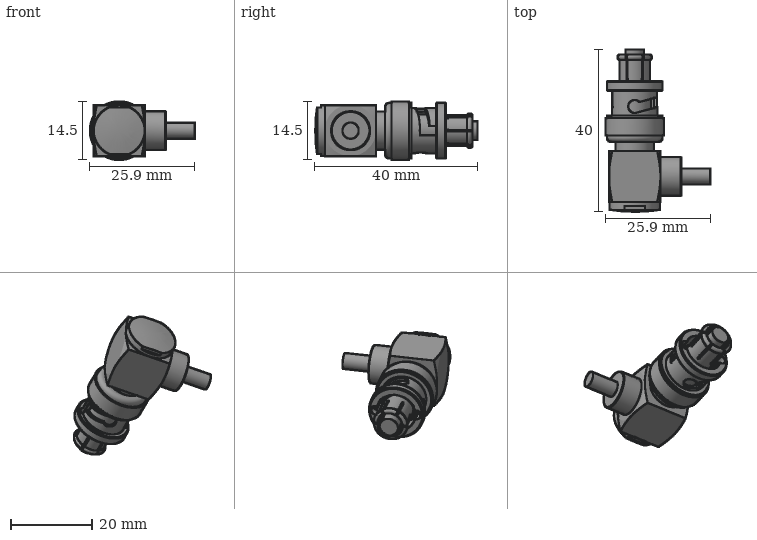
import cadquery as cq
import math


block_half = 6.32
corner_cut = 0.8

cap_radius = 6.3
cap_edge_y = -8.2
cap_tip_y = -8.72
cap_flat_z = 5.75
cap_flat_start_y = -7.32

boss_radius = 4.8
boss_end_x = 11.5
boss_chamfer = 0.15
cable_radius = 2.0
cable_end_x = 18.65

sleeve_back_y = 8.5
grip_start_y = 10.12
grip_end_y = 14.35
rim_end_y = 14.95
flange_start_y = 21.1
sleeve_front_y = 23.53
sleeve_bore_radius = 4.92
neck_radius = 4.75
barrel_radius = 5.65
rim_radius = 6.9
grip_radius = 7.25
sleeve_back_round = 1.1
flange_chamfer = 0.25

latch_hole_y = 17.25
latch_hole_radius = 1.6
ramp_width = 2.35
entry_width = 2.4
ramp_angle = 15.0
entry_round_center = 5.05

contact_base_radius = 4.05
contact_radius = 3.8
contact_bore_radius = 3.2
contact_front_y = 30.1
bead_radius = 0.72
bead_reach = 4.25
slit_width = 0.35
slit_start_y = 23.95
slit_count = 6
core_radius = 2.32
core_front_y = 31.3


def y_cylinder(radius, start_y, end_y):
    """Cylinder on the connector axis between two Y positions."""
    return cq.Workplane("XZ", origin=(0, start_y, 0)).circle(radius).extrude(start_y - end_y)


def x_cylinder(radius, start_x, end_x):
    """Cylinder on the cable axis between two X positions."""
    return cq.Workplane("YZ", origin=(start_x, 0, 0)).circle(radius).extrude(end_x - start_x)


def elbow_block():
    """Cube whose two X faces are turned down to circles by shallow conical chamfers."""
    side = 2 * block_half
    corner_radius = block_half * math.sqrt(2)
    turned = (
        cq.Workplane("XY")
        .moveTo(-block_half, 0)
        .lineTo(-block_half, block_half)
        .lineTo(-block_half + corner_cut, corner_radius)
        .lineTo(block_half - corner_cut, corner_radius)
        .lineTo(block_half, block_half)
        .lineTo(block_half, 0)
        .close()
        .revolve(360, (0, 0, 0), (1, 0, 0))
    )
    return cq.Workplane("XY").box(side, side, side).intersect(turned)


def back_cap():
    """Round cap with a domed end and two flats."""
    rise = cap_edge_y - cap_tip_y
    dome_radius = (cap_radius**2 + rise**2) / (2 * rise)
    half_angle = math.asin(cap_radius / dome_radius) / 2
    arc_middle_x = dome_radius * math.sin(half_angle)
    arc_middle_y = cap_tip_y + dome_radius * (1 - math.cos(half_angle))
    cap = (
        cq.Workplane("XY")
        .moveTo(0, -block_half)
        .lineTo(cap_radius, -block_half)
        .lineTo(cap_radius, cap_edge_y)
        .threePointArc((arc_middle_x, arc_middle_y), (0, cap_tip_y))
        .close()
        .revolve(360, (0, 0, 0), (0, 1, 0))
    )
    flat_length = cap_flat_start_y - cap_tip_y
    flat_depth = cap_radius - cap_flat_z
    flat_cut = cq.Workplane("XY").box(2 * cap_radius, flat_length, flat_depth, centered=(True, False, False))
    for bottom_z in (cap_flat_z, -cap_radius):
        cap = cap.cut(flat_cut.translate((0, cap_tip_y, bottom_z)))
    return cap


def spring_contact():
    """Beaded tube, slit into spring fingers around a solid core."""
    bead_center_y = contact_front_y - bead_radius
    base = y_cylinder(contact_base_radius, grip_end_y, flange_start_y)
    tube = y_cylinder(contact_radius, flange_start_y, bead_center_y)
    bead_center_radius = bead_reach - bead_radius
    bead = (
        cq.Workplane("XY")
        .moveTo(0, bead_center_y - bead_radius)
        .lineTo(bead_center_radius, bead_center_y - bead_radius)
        .threePointArc((bead_reach, bead_center_y), (bead_center_radius, contact_front_y))
        .lineTo(0, contact_front_y)
        .close()
        .revolve(360, (0, 0, 0), (0, 1, 0))
    )
    bore = y_cylinder(contact_bore_radius, slit_start_y, contact_front_y)
    contact = base.union(tube).union(bead).cut(bore)
    slit_length = contact_front_y - slit_start_y
    slit = (
        cq.Workplane("XY")
        .box(bead_reach, slit_length, slit_width, centered=(False, False, True))
        .translate((0, slit_start_y, 0))
    )
    for i in range(slit_count):
        contact = contact.cut(slit.rotate((0, 0, 0), (0, 1, 0), i * 360 / slit_count))
    return contact.union(y_cylinder(core_radius, slit_start_y, core_front_y))


def make_housing():
    """Elbow block with its cap, cable boss, neck and spring contact."""
    boss = x_cylinder(boss_radius, block_half, boss_end_x).faces(">X").chamfer(boss_chamfer)
    neck = y_cylinder(neck_radius, block_half, grip_end_y)
    return elbow_block().union(back_cap()).union(boss).union(neck).union(spring_contact())


def bayonet_track():
    """Cutter for the track on the +Z side: latch hole, ramp towards +X and round-floored entry."""
    hole = cq.Workplane("XY").center(0, latch_hole_y).circle(latch_hole_radius).extrude(barrel_radius)
    ramp = (
        cq.Workplane("XY")
        .box(2 * barrel_radius, ramp_width, barrel_radius, centered=False)
        .translate((0, -latch_hole_radius, 0))
        .rotate((0, 0, 0), (0, 0, 1), ramp_angle)
        .translate((0, latch_hole_y, 0))
    )
    slope = math.radians(ramp_angle)
    entry_start_y = latch_hole_y - latch_hole_radius / math.cos(slope) + barrel_radius * math.tan(slope)
    entry_length = sleeve_front_y - entry_start_y
    entry = (
        cq.Workplane("XY")
        .box(entry_round_center, entry_length, entry_width, centered=(False, False, True))
        .translate((0, entry_start_y, 0))
    )
    entry_floor = y_cylinder(entry_width / 2, entry_start_y, sleeve_front_y)
    entry_floor = entry_floor.translate((entry_round_center, 0, 0))
    return hole.union(ramp).union(entry).union(entry_floor)


def make_sleeve():
    """Coupling sleeve with a grip ring, a front flange and two bayonet tracks."""
    back = y_cylinder(rim_radius, sleeve_back_y, rim_end_y).faces("<Y").edges().fillet(sleeve_back_round)
    grip = y_cylinder(grip_radius, grip_start_y, grip_end_y)
    barrel = y_cylinder(barrel_radius, rim_end_y, flange_start_y)
    flange = y_cylinder(rim_radius, flange_start_y, sleeve_front_y).edges().chamfer(flange_chamfer)
    neck_hole = y_cylinder(neck_radius, sleeve_back_y, grip_end_y)
    bore = y_cylinder(sleeve_bore_radius, grip_end_y, sleeve_front_y)
    sleeve = back.union(grip).union(barrel).union(flange).cut(neck_hole).cut(bore)
    for turn in (0, 180):
        sleeve = sleeve.cut(bayonet_track().rotate((0, 0, 0), (0, 1, 0), turn))
    return sleeve


def make_cable():
    """Plain round cable end that butts against the boss."""
    return x_cylinder(cable_radius, boss_end_x, cable_end_x)


housing = make_housing()
sleeve = make_sleeve()
cable = make_cable()

result = cq.Compound.makeCompound([housing.val(), sleeve.val(), cable.val()])